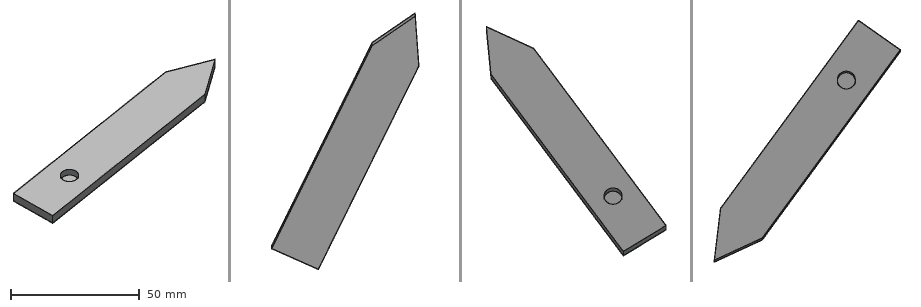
import cadquery as cq

length = 110.0
width = 20.0
thickness = 4.0
point_length = 18.0

hole_diameter = 7.0
hole_depth = 3.0
hole_from_end = 22.0

half_width = width / 2
shoulder = length - point_length
outline = [
    (-half_width, 0),
    (half_width, 0),
    (half_width, shoulder),
    (0, length),
    (-half_width, shoulder),
]
bar = cq.Workplane("XY").polyline(outline).close().extrude(thickness)

hole = (
    cq.Workplane("XY", origin=(0, hole_from_end, thickness - hole_depth))
    .circle(hole_diameter / 2)
    .extrude(hole_depth)
)

result = bar.cut(hole)